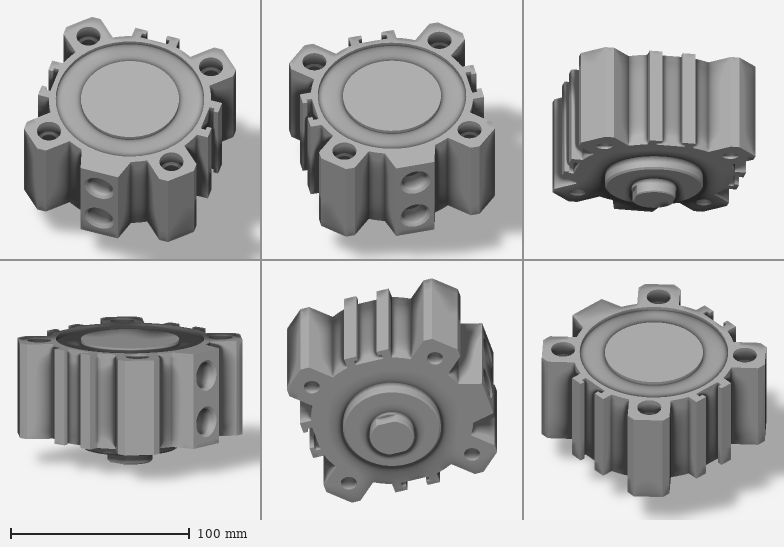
import cadquery as cq
import math

HOUSING_HEIGHT = 54.1
HOUSING_WIDTH = 100.0
HALF_WIDTH = HOUSING_WIDTH / 2
OVERALL_LENGTH = 106.0
BARREL_RADIUS = 45.5

EAR_WIDTH = 23.4
EAR_ANGLES = (45, 135, 225, 315)
EAR_REACH = 62.5
EAR_HOLE_OFFSET = 36.0
EAR_HOLE_DIAMETER = 9.0
EAR_COUNTERBORE_DIAMETER = 13.5
EAR_COUNTERBORE_DEPTH = 8.5

RAIL_WIDTH = 26.1
RAIL_ANGLES = (0, 90, 180)
SLOT_MOUTH_WIDTH = 11.7
SLOT_INNER_WIDTH = 16.2
SLOT_LIP_THICKNESS = 2.8
SLOT_DEPTH = 5.7

BOSS_REACH = OVERALL_LENGTH - HALF_WIDTH
BOSS_FACE_WIDTH = 22.0
BOSS_FLARE_ANGLE = 15.0
PORT_DIAMETER = 14.9
PORT_DEPTH = 12.7
PORT_CHAMFER = 1.3
PORT_SPACING = 26.4

RECESS_DIAMETER = 83.2
RECESS_DEPTH = 2.5
DISC_DIAMETER = 55.0

COLLAR_DIAMETER = DISC_DIAMETER
COLLAR_HEIGHT = 7.5
COLLAR_CHAMFER = 1.1

ROD_DIAMETER = 25.0
ROD_PROJECTION = 8.0
ROD_CHAMFER = 0.6
FLATS_WIDTH = 22.0
FLATS_LENGTH = 5.7
ROD_SEAT_DEPTH = COLLAR_HEIGHT


def make_ear(angle):
    """Ear pointing along the given angle, its corners trimmed to the housing square."""
    bar = cq.Workplane("XY").box(EAR_REACH, EAR_WIDTH, HOUSING_HEIGHT, centered=(False, True, False))
    bar = bar.rotate((0, 0, 0), (0, 0, 1), angle)
    envelope = cq.Workplane("XY").box(
        HOUSING_WIDTH, HOUSING_WIDTH, HOUSING_HEIGHT, centered=(True, True, False)
    )
    return bar.intersect(envelope)


def make_rail_bar(angle):
    """Plain rail block reaching from the barrel axis to the housing side."""
    bar = cq.Workplane("XY").box(HALF_WIDTH, RAIL_WIDTH, HOUSING_HEIGHT, centered=(False, True, False))
    return bar.rotate((0, 0, 0), (0, 0, 1), angle)


def make_rail_slot(angle):
    """T-slot cutter running the full height of a rail."""
    floor = HALF_WIDTH - SLOT_DEPTH
    inner_depth = SLOT_DEPTH - SLOT_LIP_THICKNESS
    mouth = cq.Workplane("XY").box(
        SLOT_DEPTH, SLOT_MOUTH_WIDTH, HOUSING_HEIGHT, centered=(False, True, False)
    )
    inner = cq.Workplane("XY").box(
        inner_depth, SLOT_INNER_WIDTH, HOUSING_HEIGHT, centered=(False, True, False)
    )
    slot = mouth.union(inner).translate((floor, 0, 0))
    return slot.rotate((0, 0, 0), (0, 0, 1), angle)


def make_port_boss():
    """Boss that widens from its port face back into the barrel."""
    face_half = BOSS_FACE_WIDTH / 2
    root_y = -BARREL_RADIUS / 2
    root_half = face_half + (BOSS_REACH + root_y) * math.tan(math.radians(BOSS_FLARE_ANGLE))
    return (
        cq.Workplane("XY")
        .polyline([
            (-face_half, -BOSS_REACH),
            (face_half, -BOSS_REACH),
            (root_half, root_y),
            (-root_half, root_y),
        ])
        .close()
        .extrude(HOUSING_HEIGHT)
    )


def make_port(height):
    """Blind port cutter with a chamfered mouth, entering the boss along +Y."""
    radius = PORT_DIAMETER / 2
    return (
        cq.Workplane("XY")
        .polyline([
            (0, 0),
            (radius + PORT_CHAMFER, 0),
            (radius, PORT_CHAMFER),
            (radius, PORT_DEPTH),
            (0, PORT_DEPTH),
        ])
        .close()
        .revolve(360, (0, 0, 0), (0, 1, 0))
        .translate((0, -BOSS_REACH, height))
    )


def make_collar():
    """Guide collar hanging below the housing, chamfered at its lower rim."""
    return (
        cq.Workplane("XY")
        .circle(COLLAR_DIAMETER / 2)
        .extrude(-COLLAR_HEIGHT)
        .faces("<Z")
        .chamfer(COLLAR_CHAMFER)
    )


def make_end_recess():
    """Ring-shaped cutter for the shallow recess around the disc."""
    return (
        cq.Workplane("XY", origin=(0, 0, HOUSING_HEIGHT))
        .circle(RECESS_DIAMETER / 2)
        .circle(DISC_DIAMETER / 2)
        .extrude(-RECESS_DEPTH)
    )


def make_housing():
    """Housing with its ears, rails, port boss and collar as one solid."""
    housing = cq.Workplane("XY").circle(BARREL_RADIUS).extrude(HOUSING_HEIGHT)
    for angle in EAR_ANGLES:
        housing = housing.union(make_ear(angle))
    for angle in RAIL_ANGLES:
        housing = housing.union(make_rail_bar(angle))
    housing = housing.union(make_port_boss()).union(make_collar())

    for angle in RAIL_ANGLES:
        housing = housing.cut(make_rail_slot(angle))
    for side in (-1, 1):
        housing = housing.cut(make_port(HOUSING_HEIGHT / 2 + side * PORT_SPACING / 2))
    housing = housing.cut(make_end_recess())

    holes = (
        cq.Workplane("XY", origin=(0, 0, HOUSING_HEIGHT))
        .rect(2 * EAR_HOLE_OFFSET, 2 * EAR_HOLE_OFFSET, forConstruction=True)
        .vertices()
    )
    housing = housing.cut(holes.circle(EAR_HOLE_DIAMETER / 2).extrude(-HOUSING_HEIGHT))
    housing = housing.cut(holes.circle(EAR_COUNTERBORE_DIAMETER / 2).extrude(-EAR_COUNTERBORE_DEPTH))

    rod_seat = (
        cq.Workplane("XY", origin=(0, 0, -COLLAR_HEIGHT))
        .circle(ROD_DIAMETER / 2)
        .extrude(ROD_SEAT_DEPTH)
    )
    return housing.cut(rod_seat)


def make_rod():
    """Piston rod with a chamfered end and two wrench flats facing -X and +X."""
    rod_end = -COLLAR_HEIGHT - ROD_PROJECTION
    rod = (
        cq.Workplane("XY", origin=(0, 0, rod_end))
        .circle(ROD_DIAMETER / 2)
        .extrude(ROD_PROJECTION + ROD_SEAT_DEPTH)
        .faces("<Z")
        .chamfer(ROD_CHAMFER)
    )
    for side in (-1, 1):
        flat_cut = (
            cq.Workplane("XY", origin=(side * (FLATS_WIDTH + ROD_DIAMETER) / 2, 0, rod_end))
            .box(ROD_DIAMETER, ROD_DIAMETER, FLATS_LENGTH, centered=(True, True, False))
        )
        rod = rod.cut(flat_cut)
    return rod


housing = make_housing()
rod = make_rod()

result = cq.Compound.makeCompound([housing.val(), rod.val()])